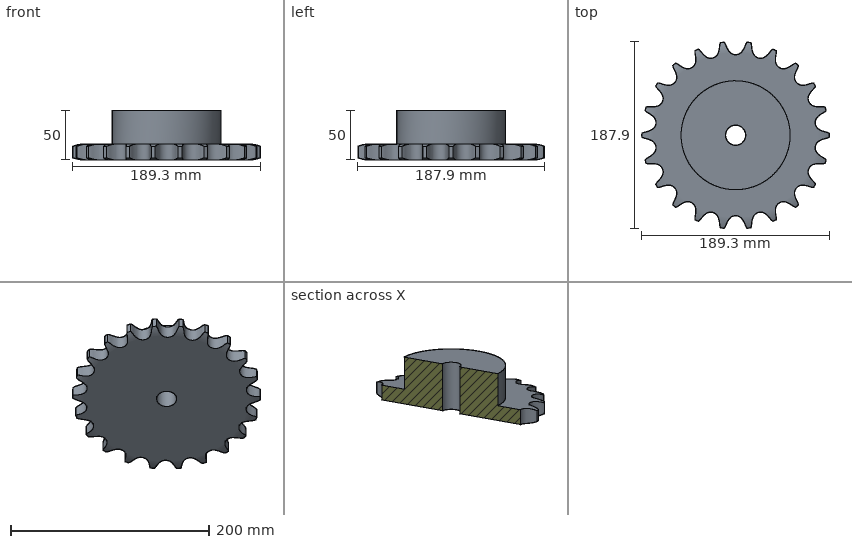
import cadquery as cq
import math

teeth = 22
outer_diameter = 189.3
pitch_diameter = 178.5
roller_diameter = 15.9
plate_thickness = 16.0
hub_diameter = 110.0
overall_height = 50.0
bore_diameter = 20.0

relief_start_radius = 83.5
relief_depth = 2.3

outer_radius = outer_diameter / 2
pitch_radius = pitch_diameter / 2
tooth_angle = 360 / teeth

seat_radius = 0.5025 * roller_diameter
working_centre_offset = 0.8 * roller_diameter
working_radius = working_centre_offset + seat_radius
topping_centre_offset = 1.4 * roller_diameter
seat_end_angle = 35 + 60 / teeth
working_sweep = 18 - 56 / teeth
flat_angle = seat_end_angle - working_sweep
flat_length = roller_diameter * (
    1.4 * math.sin(math.radians(17 - 64 / teeth)) - 0.8 * math.sin(math.radians(working_sweep))
)


def polar(radius, degrees, centre=(0, 0)):
    """Point at a radius and angle from a centre."""
    angle = math.radians(degrees)
    return (centre[0] + radius * math.cos(angle), centre[1] + radius * math.sin(angle))


def rotate(point, degrees):
    """Point turned about the wheel axis."""
    return polar(math.hypot(*point), math.degrees(math.atan2(point[1], point[0])) + degrees)


def mirror(point):
    """Point on the opposite flank of a gap centred on the X axis."""
    return (point[0], -point[1])


def direction(start, end):
    """Angle of the line from one point to another, in degrees."""
    return math.degrees(math.atan2(end[1] - start[1], end[0] - start[0]))


def circle_crossing(centre, radius):
    """Point on the outer circle where an arc about the given centre reaches it."""
    distance = math.hypot(*centre)
    cosine = (outer_radius**2 + distance**2 - radius**2) / (2 * outer_radius * distance)
    return polar(outer_radius, direction((0, 0), centre) - math.degrees(math.acos(cosine)))


def flank_points():
    """Points of the upper flank of a gap centred on the X axis, from seat to tip."""
    roller_centre = (pitch_radius, 0)
    seat_end_direction = 90 + seat_end_angle
    flat_direction = 90 + flat_angle
    seat_end = polar(seat_radius, seat_end_direction, roller_centre)
    working_centre = polar(-working_centre_offset, seat_end_direction, roller_centre)
    working_mid = polar(working_radius, (seat_end_direction + flat_direction) / 2, working_centre)
    flat_start = polar(working_radius, flat_direction, working_centre)
    flat_end = polar(flat_length, flat_direction - 90, flat_start)
    topping_centre = polar(topping_centre_offset, 90 + tooth_angle / 2, roller_centre)
    topping_radius = math.dist(topping_centre, flat_end)
    tip = circle_crossing(topping_centre, topping_radius)
    topping_mid_direction = (direction(topping_centre, flat_end) + direction(topping_centre, tip)) / 2
    topping_mid = polar(topping_radius, topping_mid_direction, topping_centre)
    return [seat_end, working_mid, flat_start, flat_end, topping_mid, tip]


def toothed_prism():
    """Full-thickness prism with the outline of all the teeth."""
    flank = flank_points()
    seat_bottom = (pitch_radius - seat_radius, 0)
    gap = [mirror(point) for point in reversed(flank)] + [seat_bottom] + flank
    first_gap = tooth_angle / 2
    outline = cq.Workplane("XY").moveTo(*rotate(gap[0], first_gap))
    for index in range(teeth):
        turn = first_gap + index * tooth_angle
        (_, topping_a, flat_a, flat_b, working_a, seat_a, bottom,
         seat_b, working_b, flat_c, flat_d, topping_b, tip) = [rotate(point, turn) for point in gap]
        next_tip = rotate(gap[0], turn + tooth_angle)
        tooth_top = polar(outer_radius, turn + tooth_angle / 2)
        outline = (
            outline.threePointArc(topping_a, flat_a)
            .lineTo(*flat_b)
            .threePointArc(working_a, seat_a)
            .threePointArc(bottom, seat_b)
            .threePointArc(working_b, flat_c)
            .lineTo(*flat_d)
            .threePointArc(topping_b, tip)
            .threePointArc(tooth_top, next_tip)
        )
    return outline.close().extrude(plate_thickness)


def relieved_disc():
    """Plain disc whose faces curve away towards the rim, tangent to the flat faces."""
    relief_width = outer_radius - relief_start_radius
    relief_radius = (relief_width**2 + relief_depth**2) / (2 * relief_depth)
    half_sweep = math.degrees(math.asin(relief_width / relief_radius)) / 2
    lower_mid = polar(relief_radius, half_sweep - 90, (relief_start_radius, relief_radius))
    upper_mid = (lower_mid[0], plate_thickness - lower_mid[1])
    section = (
        cq.Workplane("XZ")
        .lineTo(relief_start_radius, 0)
        .threePointArc(lower_mid, (outer_radius, relief_depth))
        .lineTo(outer_radius, plate_thickness - relief_depth)
        .threePointArc(upper_mid, (relief_start_radius, plate_thickness))
        .lineTo(0, plate_thickness)
        .close()
    )
    return section.revolve(360, (0, 0), (0, 1))


plate = toothed_prism().intersect(relieved_disc())
hub = cq.Workplane("XY").circle(hub_diameter / 2).extrude(overall_height)
bore = cq.Workplane("XY").circle(bore_diameter / 2).extrude(overall_height)

result = plate.union(hub).cut(bore)